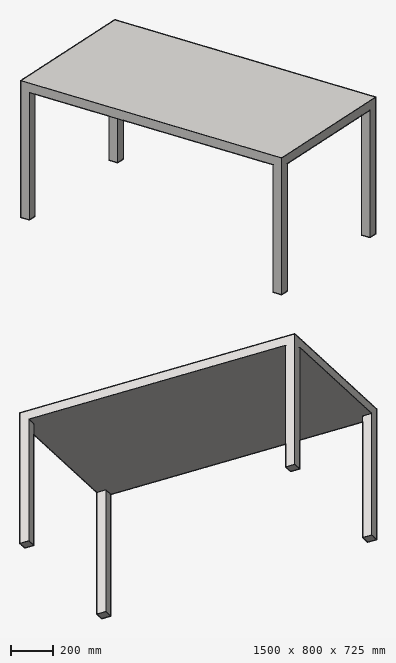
import cadquery as cq

length = 1500.0
section = length / 30
width = 16 * section
height = 14.5 * section

top_thickness = section
leg_side = section


def make_top():
    """Flat rectangular slab whose upper face is at the full height."""
    return (
        cq.Workplane("XY")
        .workplane(offset=height - top_thickness)
        .rect(length, width)
        .extrude(top_thickness)
    )


def make_legs():
    """Four square legs, flush with the corners of the top."""
    return (
        cq.Workplane("XY")
        .rect(length - leg_side, width - leg_side, forConstruction=True)
        .vertices()
        .rect(leg_side, leg_side)
        .extrude(height - top_thickness)
    )


result = make_top().union(make_legs())